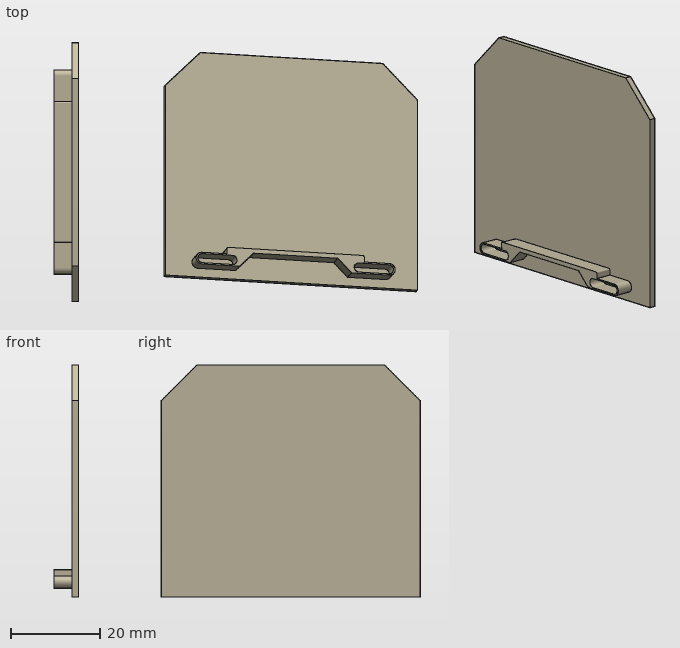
import cadquery as cq

plate_thickness = 1.5
plate_width = 58.0
plate_height = 52.0
plate_corner_cut = 8.0

rail_depth = 4.0
rail_length = 45.8
rail_bottom = 2.0
rail_end_height = 2.7
bridge_top = 6.2
bridge_length = 31.6
bridge_thickness = 1.0
bridge_corner_radius = 0.4
recess_bottom_half_width = 12.9

slot_side_wall = 0.3
slot_end_wall = 0.4
slot_length = 9.0

rail_end_radius = rail_end_height / 2
rail_end_top = rail_bottom + rail_end_height
rail_end_middle = rail_bottom + rail_end_radius
bridge_underside = bridge_top - bridge_thickness
bridge_half_length = bridge_length / 2
rail_half_length = rail_length / 2
arc_centre_y = rail_half_length - rail_end_radius

recess_top_half_width = recess_bottom_half_width - (bridge_underside - rail_bottom)

slot_width = rail_end_height - 2 * slot_side_wall
slot_centre_y = rail_half_length - slot_end_wall - slot_length / 2


def make_plate():
    """Flat plate with its two upper corners cut off at 45 degrees."""
    return (
        cq.Workplane("XY")
        .box(plate_thickness, plate_width, plate_height, centered=(False, True, False))
        .edges("|X and >Z")
        .chamfer(plate_corner_cut)
    )


def make_rail():
    """Bridge-shaped rail with round ends and small rounds on its upper corners."""
    rail = (
        cq.Workplane("YZ")
        .moveTo(-bridge_half_length, bridge_top)
        .lineTo(bridge_half_length, bridge_top)
        .lineTo(bridge_half_length, rail_end_top)
        .lineTo(arc_centre_y, rail_end_top)
        .threePointArc((rail_half_length, rail_end_middle), (arc_centre_y, rail_bottom))
        .lineTo(recess_bottom_half_width, rail_bottom)
        .lineTo(recess_top_half_width, bridge_underside)
        .lineTo(-recess_top_half_width, bridge_underside)
        .lineTo(-recess_bottom_half_width, rail_bottom)
        .lineTo(-arc_centre_y, rail_bottom)
        .threePointArc((-rail_half_length, rail_end_middle), (-arc_centre_y, rail_end_top))
        .lineTo(-bridge_half_length, rail_end_top)
        .close()
        .extrude(-rail_depth)
    )
    return rail.edges("|X and >Z").fillet(bridge_corner_radius)


def make_slots():
    """Round-ended cutters for the pockets in both rail ends."""
    return (
        cq.Workplane("YZ")
        .pushPoints([(-slot_centre_y, rail_end_middle), (slot_centre_y, rail_end_middle)])
        .slot2D(slot_length, slot_width)
        .extrude(-rail_depth)
    )


result = make_plate().union(make_rail().cut(make_slots()))